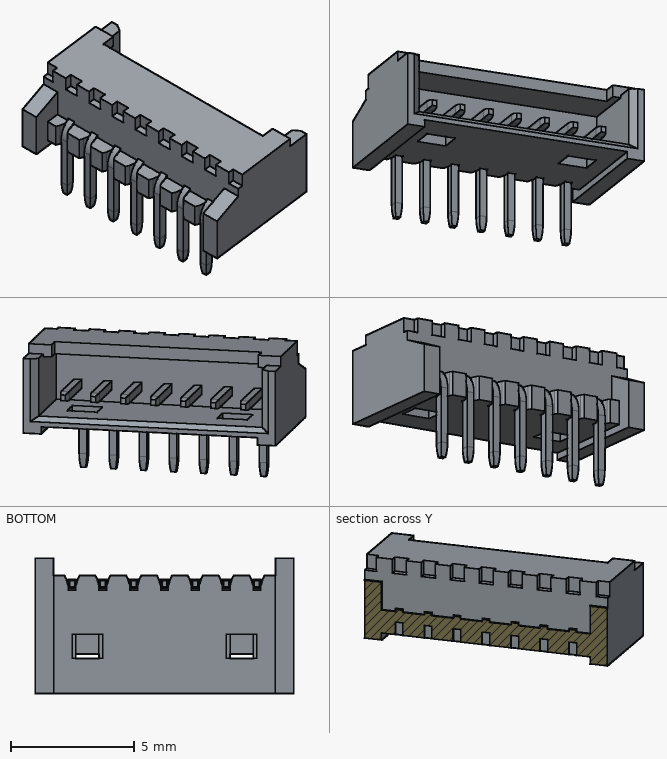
import cadquery as cq
import math


pin_count = 7
pitch = 1.25
pin_width = 0.32
pin_thickness = 0.36
pin_front = 0.86
pin_bottom = -2.3
pin_bend_start = 0.62
pin_bend_radius = 0.95
pin_mating_end = 4.8
pin_taper_length = 0.4
solder_taper_length = 0.6
tip_inset = 0.06
pin_positions = [(i - (pin_count - 1) / 2) * pitch for i in range(pin_count)]

width = 10.5
depth = 5.5
height = 3.5
front_face = 1.3
shoulder_height = 3.1
shoulder_start = 4.5
arm_width = 0.75
arm_slope_top = 2.5
arm_slope_bottom = 2.0
underside_relief = 0.3

side_wall = 0.6
cavity_start = 2.1
cavity_floor = 0.7
cavity_ceiling = 3.0
mouth_chamfer_depth = 0.2
mouth_chamfer_width = 0.3
roof_end = 3.9
roof_lug_width = 0.95

floor_slot_start = 3.1
floor_slot_end = 4.07

notch_height = 0.6
pin_notch_width = 0.6
pin_notch_depth = 0.3
corner_notch_width = 0.5
corner_notch_depth = 0.25

block_bottom = underside_relief
block_top = 1.3
block_front = 0.7
gap_mouth_half_width = 0.31
gap_bend_half_width = 0.23
gap_bend_y = 0.85
gap_throat_y = 1.1


def box(x_range, y_range, z_range):
    """Axis-aligned box between the given limits."""
    size = [end - start for start, end in (x_range, y_range, z_range)]
    return cq.Workplane("XY").box(*size, centered=False).translate((x_range[0], y_range[0], z_range[0]))


def centred(middle, length):
    """Limits of a span of the given length about its middle."""
    return (middle - length / 2, middle + length / 2)


def make_shell():
    """Side profile across the full width, opened at the front between the arms and relieved underneath."""
    profile = [
        (0, 0),
        (depth, 0),
        (depth, shoulder_height),
        (shoulder_start, shoulder_height),
        (shoulder_start, height),
        (front_face, height),
        (front_face, arm_slope_top),
        (0, arm_slope_bottom),
    ]
    shell = cq.Workplane("YZ").polyline(profile).close().extrude(width / 2, both=True)
    arm_gap = centred(0, width - 2 * arm_width)
    shell = shell.cut(box(arm_gap, (0, front_face), (0, height)))
    return shell.cut(box(arm_gap, (front_face, depth), (0, underside_relief)))


def make_cavity():
    """Mating cavity with a flared mouth, open through the roof at the rear."""
    inner_width = width - 2 * side_wall
    inner_height = cavity_ceiling - cavity_floor
    cavity = box(centred(0, inner_width), (cavity_start, depth), (cavity_floor, cavity_ceiling))
    middle = (0, depth, (cavity_floor + cavity_ceiling) / 2)
    mouth = (
        cq.Workplane("XZ", origin=middle)
        .rect(inner_width + 2 * mouth_chamfer_width, inner_height + 2 * mouth_chamfer_depth)
        .workplane(offset=mouth_chamfer_depth)
        .rect(inner_width, inner_height)
        .loft(ruled=True)
    )
    side_flare = (
        cq.Workplane("XY", origin=(0, 0, middle[2]))
        .moveTo(-inner_width / 2, depth - mouth_chamfer_depth)
        .lineTo(inner_width / 2, depth - mouth_chamfer_depth)
        .lineTo(inner_width / 2 + mouth_chamfer_width, depth)
        .lineTo(-inner_width / 2 - mouth_chamfer_width, depth)
        .close()
        .extrude(height)
    )
    roof_cut = box(centred(0, width - 2 * roof_lug_width), (roof_end, depth), (cavity_floor, height))
    rear_cut = box(centred(0, inner_width), (shoulder_start, depth), (cavity_floor, height))
    return cavity.union(mouth).union(side_flare).union(roof_cut).union(rear_cut)


def make_floor_slots():
    """Two slots through the floor, each one pitch wide."""
    slot_middle = pin_positions[-1] - pitch / 2
    y_range = (floor_slot_start, floor_slot_end)
    z_range = (0, cavity_floor)
    right_slot = box(centred(slot_middle, pitch), y_range, z_range)
    return right_slot.union(box(centred(-slot_middle, pitch), y_range, z_range))


def make_notches():
    """Notches in the top front edge: one above each pin and one at each corner."""
    z_range = (height - notch_height, height)
    corner_y = (front_face, front_face + corner_notch_depth)
    notches = box((-width / 2, -width / 2 + corner_notch_width), corner_y, z_range)
    notches = notches.union(box((width / 2 - corner_notch_width, width / 2), corner_y, z_range))
    for x in pin_positions:
        y_range = (front_face, front_face + pin_notch_depth)
        notches = notches.union(box(centred(x, pin_notch_width), y_range, z_range))
    return notches


def make_guide_blocks():
    """Bar between the arms, split by a tapering gap at each pin."""
    z_range = (block_bottom, block_top)
    blocks = box(centred(0, width - 2 * arm_width), (block_front, front_face), z_range)
    half_gap = [
        (gap_mouth_half_width, block_front),
        (gap_bend_half_width, gap_bend_y),
        (pin_width / 2, gap_throat_y),
        (pin_width / 2, front_face),
    ]
    outline = half_gap + [(-x, y) for x, y in reversed(half_gap)]
    gap = cq.Workplane("XY", origin=(0, 0, block_bottom)).polyline(outline).close()
    gap = gap.extrude(block_top - block_bottom)
    for x in pin_positions:
        blocks = blocks.cut(gap.translate((x, 0, 0)))
    return blocks


def tip_outline(plane, size, length):
    """Bullet outline of the given base size, its sides curving in from straight at the base."""
    side_radius = (length**2 + tip_inset**2) / (2 * tip_inset)
    half_length_inset = side_radius - math.sqrt(side_radius**2 - (length / 2) ** 2)
    base = size / 2
    return (
        cq.Workplane(plane)
        .moveTo(-base, 0)
        .lineTo(base, 0)
        .threePointArc((base - half_length_inset, length / 2), (base - tip_inset, length))
        .lineTo(-base + tip_inset, length)
        .threePointArc((-base + half_length_inset, length / 2), (-base, 0))
        .close()
    )


def make_tip(length):
    """Pin tip pointing along +Z from the origin, rounded in on all four sides."""
    tip = tip_outline("XZ", pin_width, length).extrude(pin_thickness / 2, both=True)
    return tip.intersect(tip_outline("YZ", pin_thickness, length).extrude(pin_width / 2, both=True))


def make_pin():
    """Bent pin centred on X = 0, with a tapered tip at both ends."""
    leg_middle = pin_front + pin_thickness / 2
    arm_top = pin_bend_start + pin_bend_radius
    arm_middle = arm_top - pin_thickness / 2
    leg_end = pin_bottom + solder_taper_length
    arm_end = pin_mating_end - pin_taper_length
    inner_radius = pin_bend_radius - pin_thickness
    bend_y = pin_front + pin_bend_radius
    diagonal = math.sqrt(0.5)
    pin = (
        cq.Workplane("YZ")
        .moveTo(pin_front, leg_end)
        .lineTo(pin_front, pin_bend_start)
        .threePointArc(
            (bend_y - pin_bend_radius * diagonal, pin_bend_start + pin_bend_radius * diagonal),
            (bend_y, arm_top),
        )
        .lineTo(arm_end, arm_top)
        .lineTo(arm_end, arm_top - pin_thickness)
        .lineTo(bend_y, arm_top - pin_thickness)
        .threePointArc(
            (bend_y - inner_radius * diagonal, pin_bend_start + inner_radius * diagonal),
            (pin_front + pin_thickness, pin_bend_start),
        )
        .lineTo(pin_front + pin_thickness, leg_end)
        .close()
        .extrude(pin_width / 2, both=True)
    )
    x_axis_end = (1, 0, 0)
    solder_tip = make_tip(solder_taper_length).rotate((0, 0, 0), x_axis_end, 180)
    mating_tip = make_tip(pin_taper_length).rotate((0, 0, 0), x_axis_end, -90)
    pin = pin.union(solder_tip.translate((0, leg_middle, leg_end)))
    return pin.union(mating_tip.translate((0, arm_end, arm_middle)))


housing = make_shell().cut(make_cavity()).cut(make_floor_slots()).cut(make_notches())
result = housing.union(make_guide_blocks())
pin = make_pin()
for pin_x in pin_positions:
    result = result.union(pin.translate((pin_x, 0, 0)))